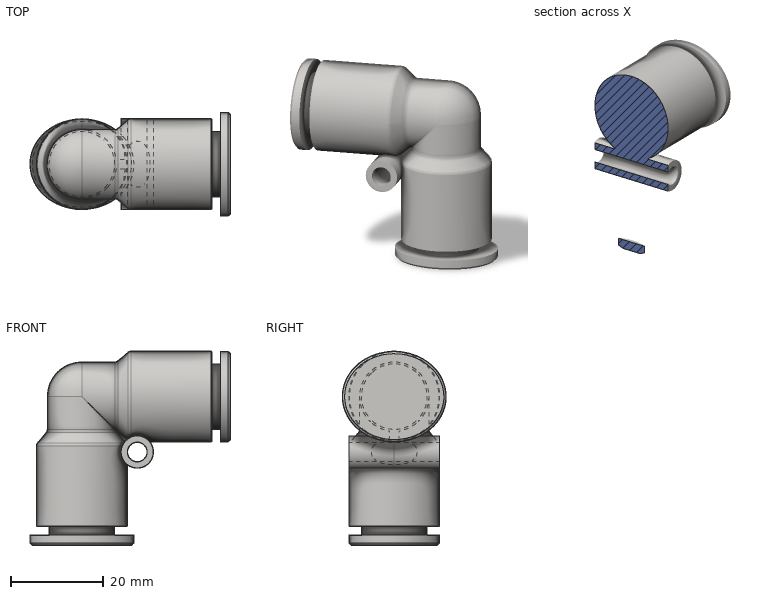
import cadquery as cq


neck_radius = 7.5
socket_radius = 9.85
stem_radius = 7.1

cone_start = 7.5
cone_end = 10.3
socket_end = 28.15
collar_start = 30.0
leg_length = 32.2

neck_fillet = 1.0
shoulder_fillet = 1.0
socket_chamfer = 0.15
collar_chamfer = 0.5

ring_search_margin = 0.1

collar_width = 22.5
collar_height = 19.6

eyelet_offset = 12.0
eyelet_diameter = 7.0
eyelet_hole_diameter = 4.2
eyelet_length = 2 * socket_radius

web_thickness = 2.0


def make_socket():
    """Neck, conical shoulder, socket and stem turned about the X axis."""
    turned = (
        cq.Workplane("XY")
        .lineTo(0, neck_radius)
        .lineTo(cone_start, neck_radius)
        .lineTo(cone_end, socket_radius)
        .lineTo(socket_end - socket_chamfer, socket_radius)
        .lineTo(socket_end, socket_radius - socket_chamfer)
        .lineTo(socket_end, stem_radius)
        .lineTo(collar_start, stem_radius)
        .lineTo(collar_start, 0)
        .close()
        .revolve(360, (0, 0, 0), (1, 0, 0))
    )
    turned = round_ring(turned, cone_start, neck_radius, neck_fillet)
    return round_ring(turned, cone_end, socket_radius, shoulder_fillet)


def round_ring(body, station, ring_radius, fillet_radius):
    """Fillet the circular edge at one station along the X axis."""
    reach = ring_radius + ring_search_margin
    ring = cq.selectors.BoxSelector(
        (station - ring_search_margin, -reach, -reach),
        (station + ring_search_margin, reach, reach),
        boundingbox=True,
    )
    return body.edges(ring).fillet(fillet_radius)


def make_collar(width_along_y, width_along_z):
    """Oval collar at the end of the X leg, chamfered on its outer face."""
    return (
        cq.Workplane("YZ", origin=(collar_start, 0, 0))
        .ellipse(width_along_y / 2, width_along_z / 2)
        .extrude(leg_length - collar_start)
        .faces(">X")
        .edges()
        .chamfer(collar_chamfer)
    )


def make_eyelet():
    """Tube along Y, centred on the mid-plane of the elbow."""
    return (
        cq.Workplane("XZ", origin=(eyelet_offset, 0, -eyelet_offset))
        .circle(eyelet_diameter / 2)
        .circle(eyelet_hole_diameter / 2)
        .extrude(eyelet_length / 2, both=True)
    )


def make_web():
    """Square plate on the mid-plane, between the neck corner and the eyelet."""
    side = socket_radius - neck_radius
    centre = (socket_radius + neck_radius) / 2
    return cq.Workplane("XY").box(side, web_thickness, side).translate((centre, 0, -centre))


def turn_down(leg):
    """Swing a leg from +X to -Z."""
    return leg.rotate((0, 0, 0), (0, 1, 0), 90)


socket = make_socket()
horizontal_leg = socket.union(make_collar(collar_width, collar_height))
vertical_leg = turn_down(socket.union(make_collar(collar_height, collar_width)))
corner_ball = cq.Workplane("XY").sphere(neck_radius)


result = (
    horizontal_leg
    .union(vertical_leg)
    .union(corner_ball)
    .union(make_eyelet())
    .union(make_web())
)